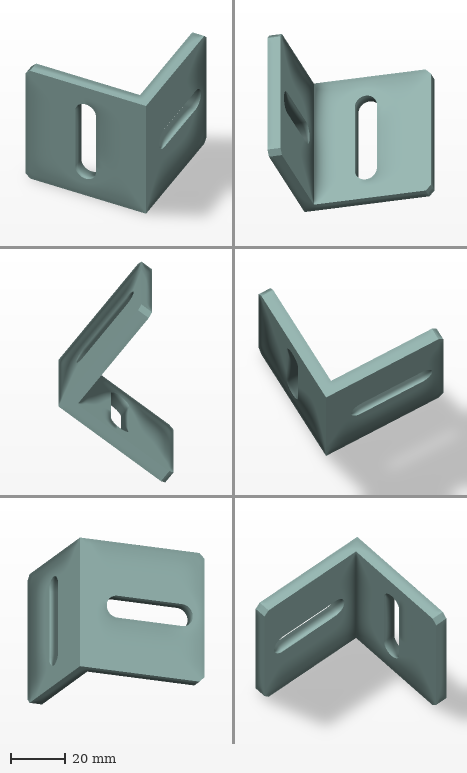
import cadquery as cq

leg_length = 50.0
height = 50.0
thickness = 5.0
corner_chamfer = 2.0

slot_width = 8.5
slot_length = 34.5
front_slot_x = leg_length / 2
side_slot_y = 28.0
mid_height = height / 2


def angle_body():
    """L-shaped profile extruded upward, outer corner at +X, -Y."""
    inner_x = leg_length - thickness
    return (
        cq.Workplane("XY")
        .moveTo(0, 0)
        .lineTo(leg_length, 0)
        .lineTo(leg_length, leg_length)
        .lineTo(inner_x, leg_length)
        .lineTo(inner_x, thickness)
        .lineTo(0, thickness)
        .close()
        .extrude(height)
    )


def front_slot():
    """Vertical slot cutter through the front leg."""
    return (
        cq.Workplane("XZ")
        .center(front_slot_x, mid_height)
        .slot2D(slot_length, slot_width, 90)
        .extrude(-thickness)
    )


def side_slot():
    """Horizontal slot cutter through the side leg."""
    return (
        cq.Workplane("YZ", origin=(leg_length - thickness, 0, 0))
        .center(side_slot_y, mid_height)
        .slot2D(slot_length, slot_width)
        .extrude(thickness)
    )


body = angle_body()
body = body.faces("<X").edges("|Y").chamfer(corner_chamfer)
body = body.faces(">Y").edges("|X").chamfer(corner_chamfer)

result = body.cut(front_slot()).cut(side_slot())